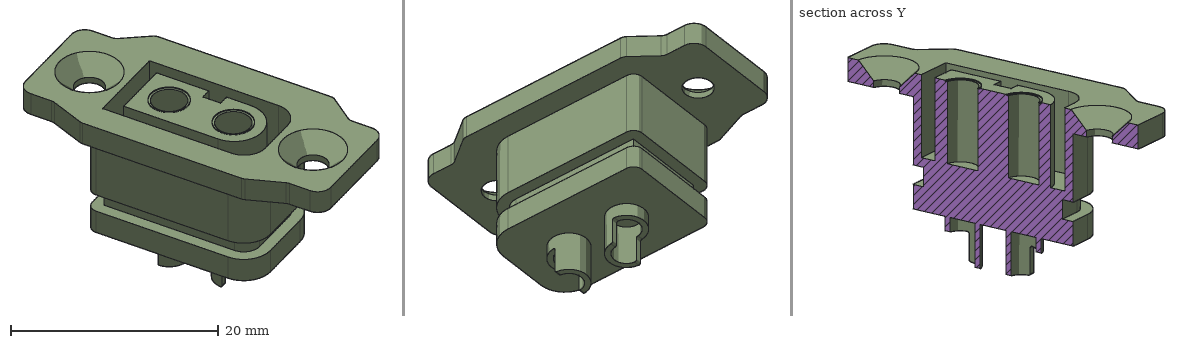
import cadquery as cq

FLANGE_BOTTOM = -2.5
BODY_BOTTOM = -9.5
GROOVE_BOTTOM = -11.45
CAP_BOTTOM = -14.0
PIN_STEP = -15.47
PIN_END = -18.5

FLANGE_LENGTH = 34.15
FLANGE_BACK_Y = 8.3
FLANGE_FRONT_Y = -7.5
EAR_HALF_WIDTH = 5.9
EAR_INNER_X = 13.1
BACK_HALF_LENGTH = 9.95
FRONT_HALF_LENGTH = 9.05
EAR_CORNER_RADIUS = 1.47
BEND_RADIUS = 1.0

MOUNT_HOLE_X = 12.5
MOUNT_HOLE_DIAMETER = 3.1
COUNTERSINK_DIAMETER = 6.7
COUNTERSINK_ANGLE = 90.0

BODY_LENGTH = 18.8
BODY_WIDTH = 11.68
BODY_LEFT_RADIUS = 1.05
BODY_RIGHT_RADIUS = 3.0
GROOVE_DEPTH = 1.23

POCKET_LENGTH = 16.8
POCKET_WIDTH = 8.98
POCKET_RADIUS = 2.4
POCKET_DEPTH = 8.5
INSERT_LENGTH = 13.65
INSERT_WIDTH = 6.3
KEYWAY_WIDTH = 1.98
KEYWAY_DEPTH = 1.13

CONTACT_X = 3.6
SOCKET_DIAMETER = 3.62
SOCKET_RECESS_DIAMETER = 4.1
SOCKET_RECESS_DEPTH = 0.1
PIN_DIAMETER = 4.27
CUP_DIAMETER = 3.0
PIN_FILLET = 0.2


def rounded_block(length, width, top, bottom, left_radius, right_radius):
    """Upright block centred on the Z axis; its -X and +X corners have their own radii."""
    block = cq.Workplane("XY", origin=(0, 0, bottom)).rect(length, width).extrude(top - bottom)
    if left_radius > 0:
        block = block.edges("|Z and <X").fillet(left_radius)
    return block.edges("|Z and >X").fillet(right_radius)


def cylinder(center_x, diameter, top, bottom):
    """Upright cylinder on the X axis of the part."""
    return cq.Workplane("XY", origin=(center_x, 0, bottom)).circle(diameter / 2).extrude(top - bottom)


def flange():
    half_length = FLANGE_LENGTH / 2
    right_side = [
        (FRONT_HALF_LENGTH, FLANGE_FRONT_Y),
        (EAR_INNER_X, -EAR_HALF_WIDTH),
        (half_length, -EAR_HALF_WIDTH),
        (half_length, EAR_HALF_WIDTH),
        (EAR_INNER_X, EAR_HALF_WIDTH),
        (BACK_HALF_LENGTH, FLANGE_BACK_Y),
    ]
    left_side = [(-x, y) for x, y in reversed(right_side)]
    plate = (
        cq.Workplane("XY", origin=(0, 0, FLANGE_BOTTOM))
        .polyline(right_side + left_side)
        .close()
        .extrude(-FLANGE_BOTTOM)
    )

    plate = plate.edges("|Z and (not (<X or >X))").fillet(BEND_RADIUS)
    plate = plate.edges("|Z and (<X or >X)").fillet(EAR_CORNER_RADIUS)

    return (
        plate.faces(">Z")
        .workplane(origin=(0, 0, 0))
        .pushPoints([(-MOUNT_HOLE_X, 0), (MOUNT_HOLE_X, 0)])
        .cskHole(MOUNT_HOLE_DIAMETER, COUNTERSINK_DIAMETER, COUNTERSINK_ANGLE)
    )


def housing():
    """Body and cap of equal outline, joined by a narrower neck that forms the groove."""
    outline = (BODY_LENGTH, BODY_WIDTH)
    corner_radii = (BODY_LEFT_RADIUS, BODY_RIGHT_RADIUS)
    body = rounded_block(*outline, FLANGE_BOTTOM, BODY_BOTTOM, *corner_radii)
    cap = rounded_block(*outline, GROOVE_BOTTOM, CAP_BOTTOM, *corner_radii)
    neck = rounded_block(
        BODY_LENGTH - 2 * GROOVE_DEPTH,
        BODY_WIDTH - 2 * GROOVE_DEPTH,
        BODY_BOTTOM,
        GROOVE_BOTTOM,
        left_radius=0,
        right_radius=BODY_RIGHT_RADIUS - GROOVE_DEPTH,
    )
    return body.union(neck).union(cap)


def pocket():
    return rounded_block(
        POCKET_LENGTH, POCKET_WIDTH, 0, -POCKET_DEPTH, left_radius=0, right_radius=POCKET_RADIUS
    )


def insert():
    """Block with a full round +X end, a keyway in its +Y side and two recessed sockets."""
    half_width = INSERT_WIDTH / 2
    left_x = -INSERT_LENGTH / 2
    right_x = INSERT_LENGTH / 2
    block = (
        cq.Workplane("XY", origin=(0, 0, -POCKET_DEPTH))
        .moveTo(left_x, -half_width)
        .lineTo(right_x - half_width, -half_width)
        .threePointArc((right_x, 0), (right_x - half_width, half_width))
        .lineTo(left_x, half_width)
        .close()
        .extrude(POCKET_DEPTH)
    )
    keyway = (
        cq.Workplane("XY", origin=(0, half_width, -POCKET_DEPTH))
        .rect(KEYWAY_WIDTH, 2 * KEYWAY_DEPTH)
        .extrude(POCKET_DEPTH)
    )
    block = block.cut(keyway)
    for socket_x in (-CONTACT_X, CONTACT_X):
        block = block.cut(cylinder(socket_x, SOCKET_DIAMETER, 0, -POCKET_DEPTH))
        block = block.cut(cylinder(socket_x, SOCKET_RECESS_DIAMETER, 0, -SOCKET_RECESS_DEPTH))
    return block


def solder_pin(side):
    """Pin on the -X (side = -1) or +X (side = 1) side, its lower outer half cut away to open the cup."""
    center_x = side * CONTACT_X
    pin = cylinder(center_x, PIN_DIAMETER, CAP_BOTTOM, PIN_END)
    outer_half = (
        cq.Workplane("XY", origin=(center_x + side * PIN_DIAMETER / 2, 0, PIN_END))
        .rect(PIN_DIAMETER, PIN_DIAMETER)
        .extrude(PIN_STEP - PIN_END)
    )
    inner_face = "<X" if side > 0 else ">X"
    outer_half = outer_half.faces(inner_face).edges(">Z").fillet(PIN_FILLET)
    pin = pin.cut(outer_half)
    pin = pin.faces("<Z").edges("|Y").fillet(PIN_FILLET)
    return pin.cut(cylinder(center_x, CUP_DIAMETER, CAP_BOTTOM, PIN_END))


result = flange().union(housing()).cut(pocket()).union(insert())
for pin_side in (-1, 1):
    result = result.union(solder_pin(pin_side))